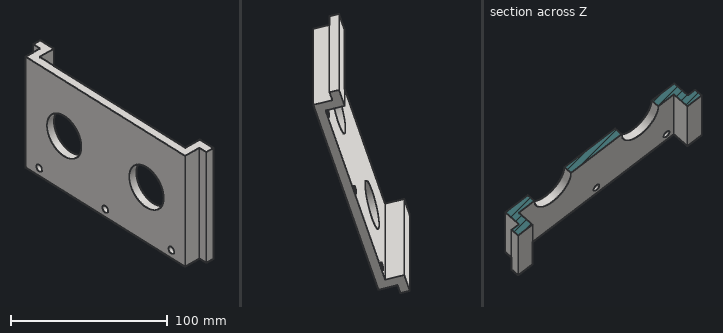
import cadquery as cq

sheet = 6.35
panel_width = 147.7
height = 87.7
depth = 3 * sheet
flange_overhang = sheet

opening_diameter = 31.75
opening_spacing = 76.2

mount_diameter = 5.2
mount_side_margin = 2 * sheet
mount_bottom_margin = sheet

half_panel = panel_width / 2
half_inside = half_panel - sheet
half_overall = half_panel + flange_overhang
mount_offset = half_panel - mount_side_margin


def make_body():
    """Hat-shaped section in XY, extruded upward."""
    right_half = [
        (half_panel, 0),
        (half_panel, depth - sheet),
        (half_overall, depth - sheet),
        (half_overall, depth),
        (half_inside, depth),
        (half_inside, sheet),
    ]
    left_half = [(-x, y) for x, y in reversed(right_half)]
    return cq.Workplane("XY").polyline(right_half + left_half).close().extrude(height)


def panel_holes(centers, diameter):
    """Cylinders along Y that pass through the front panel at the given (x, z) centers."""
    return cq.Workplane("XZ").pushPoints(centers).circle(diameter / 2).extrude(-sheet)


opening_centers = [(side * opening_spacing / 2, height / 2) for side in (-1, 1)]
mount_centers = [(place * mount_offset, mount_bottom_margin) for place in (-1, 0, 1)]

result = (
    make_body()
    .cut(panel_holes(opening_centers, opening_diameter))
    .cut(panel_holes(mount_centers, mount_diameter))
)